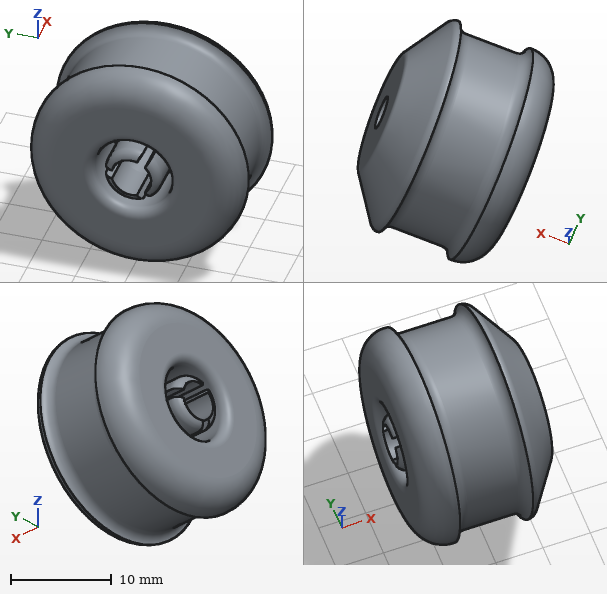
import cadquery as cq
import math

width = 14.83
rim_radius = 11.2
groove_radius = 10.25
groove_start = 3.2
groove_end = 10.9
groove_fillet = 1.23
front_fillet = 3.0
cone_angle = 54.7
shoulder_fillet = 0.9
back_fillet = 1.0

bore_radius = 4.03
bore_depth = 7.0
bore_fillet = 1.0
hole_radius = 1.68

finger_radius = 2.93
finger_fillet = 1.0
finger_inner_radius = 2.05
taper_start = 4.0
finger_count = 3
slot_width = 0.96


def turned(outline):
    """Revolve an XY outline a full turn about the X axis."""
    return outline.revolve(360, (0, 0, 0), (1, 0, 0))


def wheel_body():
    """Solid wheel: rounded front rim, belt groove and back cone."""
    groove_drop = rim_radius - groove_radius
    groove_run = math.sqrt(groove_fillet**2 - (groove_fillet - groove_drop)**2)
    slope = math.radians(cone_angle)
    shoulder_x = groove_end + shoulder_fillet * math.sin(slope)
    shoulder_r = rim_radius - shoulder_fillet * (1 - math.cos(slope))
    back_x = width - back_fillet * (1 - math.sin(slope))
    back_r = shoulder_r - (back_x - shoulder_x) * math.tan(slope)
    back_face_r = back_r - back_fillet * math.cos(slope)

    outline = (
        cq.Workplane("XY")
        .moveTo(0, 0)
        .lineTo(0, rim_radius - front_fillet)
        .radiusArc((front_fillet, rim_radius), front_fillet)
        .lineTo(groove_start, rim_radius)
        .radiusArc((groove_start + groove_run, groove_radius), -groove_fillet)
        .lineTo(groove_end - groove_run, groove_radius)
        .radiusArc((groove_end, rim_radius), -groove_fillet)
        .radiusArc((shoulder_x, shoulder_r), shoulder_fillet)
        .lineTo(back_x, back_r)
        .radiusArc((width, back_face_r), back_fillet)
        .lineTo(width, 0)
        .close()
    )
    return turned(outline)


def bore():
    """Blind bore with a rounded mouth, as a cutting body."""
    outline = (
        cq.Workplane("XY")
        .moveTo(0, 0)
        .lineTo(0, bore_radius + bore_fillet)
        .radiusArc((bore_fillet, bore_radius), -bore_fillet)
        .lineTo(bore_depth, bore_radius)
        .lineTo(bore_depth, 0)
        .close()
    )
    return turned(outline)


def fingers():
    """Ring with a rounded tip and an inside that tapers at depth, split by radial slots."""
    tip_centre_r = finger_radius - finger_fillet
    tip_x = finger_fillet - math.sqrt(finger_fillet**2 - (finger_inner_radius - tip_centre_r)**2)
    outline = (
        cq.Workplane("XY")
        .moveTo(bore_depth, hole_radius)
        .lineTo(taper_start, finger_inner_radius)
        .lineTo(tip_x, finger_inner_radius)
        .radiusArc((finger_fillet, finger_radius), finger_fillet)
        .lineTo(bore_depth, finger_radius)
        .close()
    )
    ring = turned(outline)
    slot = cq.Workplane("XY").box(bore_depth, bore_radius, slot_width, centered=(False, False, True))
    for index in range(finger_count):
        ring = ring.cut(slot.rotate((0, 0, 0), (1, 0, 0), index * 360 / finger_count))
    return ring


hole = cq.Workplane("YZ").circle(hole_radius).extrude(width)

result = wheel_body().cut(bore()).cut(hole).union(fingers())